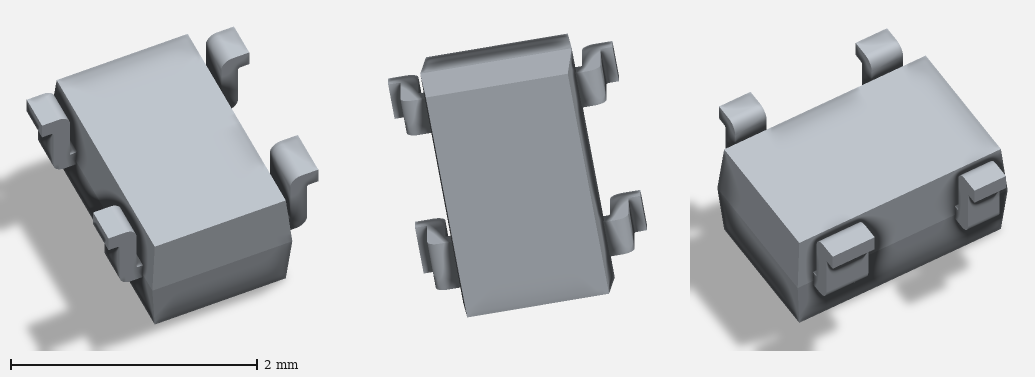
import cadquery as cq

body_length = 2.0
body_width = 1.25
body_height = 1.0
seam_z = body_height / 2
end_inset = 0.04
draft_slope = end_inset / seam_z

overall_width = 1.85
lead_thickness = 0.15
lead_top_z = 1.1
lead_root_z = 0.45
root_top_z = lead_root_z + lead_thickness
lead_tip_y = overall_width / 2
foot_overhang = 0.1
outer_bend_radius = 0.1
inner_bend_radius = 0.02
lead_embed = 0.1
lead_spacing = 1.3
lead_width = 0.3
wide_lead_width = 0.4


def make_body():
    """Two frusta that share the seam rectangle and taper up and down from it."""
    end_length = body_length - 2 * end_inset
    end_width = body_width - 2 * end_inset
    lower = (
        cq.Workplane("XY")
        .rect(end_length, end_width)
        .workplane(offset=seam_z)
        .rect(body_length, body_width)
        .loft(ruled=True)
    )
    upper = (
        cq.Workplane("XY")
        .workplane(offset=seam_z)
        .rect(body_length, body_width)
        .workplane(offset=body_height - seam_z)
        .rect(end_length, end_width)
        .loft(ruled=True)
    )
    return lower.union(upper, clean=False)


def edge_near(y, z, x=0):
    """Selector for the edge whose middle lies closest to the given point."""
    return cq.selectors.NearestToPointSelector((x, y, z))


def make_lead(x_center, width, rounded_root_bend=True):
    """Z-shaped lead on the +Y side, from its root inside the body up to its foot."""
    root_y = body_width / 2 - lead_embed
    outer_y = lead_tip_y - foot_overhang
    inner_y = outer_y - lead_thickness
    foot_under_z = lead_top_z - lead_thickness
    lead = (
        cq.Workplane("YZ")
        .moveTo(root_y, lead_root_z)
        .lineTo(outer_y, lead_root_z)
        .lineTo(outer_y, foot_under_z)
        .lineTo(lead_tip_y, foot_under_z)
        .lineTo(lead_tip_y, lead_top_z)
        .lineTo(inner_y, lead_top_z)
        .lineTo(inner_y, root_top_z)
        .lineTo(root_y, root_top_z)
        .close()
        .extrude(width / 2, both=True)
    )
    lead = lead.edges(edge_near(outer_y, lead_root_z)).fillet(outer_bend_radius)
    lead = lead.edges(edge_near(inner_y, lead_top_z)).fillet(outer_bend_radius)
    lead = lead.edges(edge_near(outer_y, foot_under_z)).fillet(inner_bend_radius)
    if rounded_root_bend:
        lead = lead.edges(edge_near(inner_y, root_top_z)).fillet(inner_bend_radius)
    return lead.translate((x_center, 0, 0))


def make_front_lead(x_center, rounded_root_bend=True):
    """Narrow lead turned to face the -Y side."""
    return make_lead(x_center, lead_width, rounded_root_bend).mirror("XZ")


left_x = -lead_spacing / 2
right_x = lead_spacing / 2

leads = [
    make_lead(left_x, lead_width),
    make_lead(right_x, wide_lead_width),
    make_front_lead(left_x, rounded_root_bend=False),
    make_front_lead(right_x),
]
result = make_body()
for lead in leads:
    result = result.union(lead, clean=False)

wall_y = body_width / 2 - (root_top_z - seam_z) * draft_slope
result = result.edges(edge_near(-wall_y, root_top_z, left_x)).fillet(inner_bend_radius)